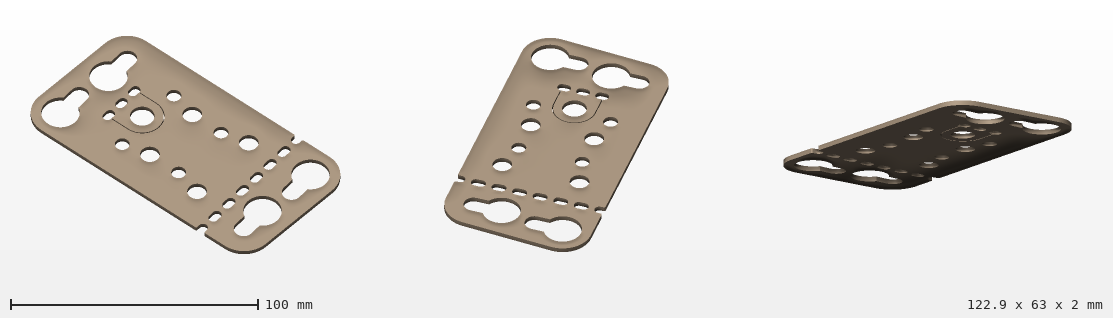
import cadquery as cq
import math

length = 122.9
width = 63.0
thickness = 2.0
corner_radius = 12.0
end_lean = 3.0

keyhole_diameter = 15.6
keyhole_slot_width = 8.0
keyhole_slot_offset = 12.0
keyhole_pitch = 27.0

small_diameter = 6.0
large_diameter = 8.0
inner_hole_y = 13.5
outer_hole_y = 16.5
inner_hole_x = 7.5
outer_hole_x = 19.5

break_line_x = 33.4
slot_width = 3.9
break_slot_length = 6.1
break_slot_count = 8
break_slot_span = 61.5
break_slot_pitch = break_slot_span / (break_slot_count - 1)
notch_corner_radius = 0.6

tab_hole_diameter = 10.0
tab_hole_x = -22.6
tab_radius = 8.9
tab_cut_width = 0.4
tab_slot_x = -break_line_x
tab_slot_length = 5.7
tab_slot_count = 3
tab_slot_pitch = 8.1

corner_y = width / 2 - corner_radius
far_corner_x = length / 2 - corner_radius
near_corner_x = far_corner_x - end_lean


def extruded(sketch):
    return sketch.extrude(thickness)


def plate():
    slope = end_lean / (2 * corner_y)
    mid_edge_x = (far_corner_x + near_corner_x) / 2 + corner_radius * math.hypot(1, slope)
    far_x = mid_edge_x + slope * width / 2
    near_x = mid_edge_x - slope * width / 2
    corners = [
        (far_x, width / 2),
        (-near_x, width / 2),
        (-far_x, -width / 2),
        (near_x, -width / 2),
    ]
    return extruded(cq.Workplane().polyline(corners).close()).edges("|Z").fillet(corner_radius)


def round_holes(points, diameter):
    return extruded(cq.Workplane().pushPoints(points).circle(diameter / 2))


def slot_row(x, count, pitch, slot_length):
    row = cq.Workplane().center(x, 0).rarray(1.2, pitch, 1, count)
    return extruded(row.slot2D(slot_length, slot_width, 90))


def keyhole(x, y, slot_direction):
    slot_end = y + slot_direction * keyhole_slot_offset
    neck = cq.Workplane().center(x, (y + slot_end) / 2).rect(keyhole_slot_width, keyhole_slot_offset)
    head = round_holes([(x, y)], keyhole_diameter)
    return head.union(extruded(neck)).union(round_holes([(x, slot_end)], keyhole_slot_width))


def tab_cut():
    def tab_outline(radius):
        return extruded(
            cq.Workplane()
            .moveTo(tab_slot_x, -radius)
            .lineTo(tab_hole_x, -radius)
            .threePointArc((tab_hole_x + radius, 0), (tab_hole_x, radius))
            .lineTo(tab_slot_x, radius)
            .close()
        )

    return tab_outline(tab_radius + tab_cut_width / 2).cut(tab_outline(tab_radius - tab_cut_width / 2))


result = plate()

result = result.cut(slot_row(break_line_x, break_slot_count, break_slot_pitch, break_slot_length))
for mouth_side in (-1, 1):
    for notch_side in (-1, 1):
        mouth_point = (break_line_x + notch_side * slot_width / 2, mouth_side * width / 2, 0)
        mouth_edge = result.edges("|Z").edges(cq.NearestToPointSelector(mouth_point))
        result = mouth_edge.fillet(notch_corner_radius)

for end in (-1, 1):
    outer_y = end * corner_y
    result = result.cut(keyhole(end * far_corner_x, outer_y, -end))
    result = result.cut(keyhole(end * near_corner_x, outer_y - end * keyhole_pitch, -end))

for side in (-1, 1):
    inner_y = side * inner_hole_y
    outer_y = side * outer_hole_y
    result = result.cut(round_holes([(-outer_hole_x, outer_y), (inner_hole_x, inner_y)], small_diameter))
    result = result.cut(round_holes([(-inner_hole_x, inner_y), (outer_hole_x, outer_y)], large_diameter))

result = result.cut(round_holes([(tab_hole_x, 0)], tab_hole_diameter))
result = result.cut(tab_cut())
result = result.cut(slot_row(tab_slot_x, tab_slot_count, tab_slot_pitch, tab_slot_length))